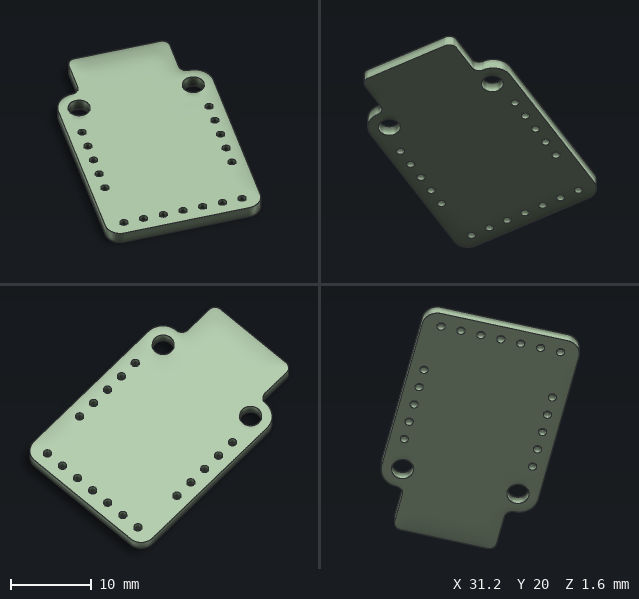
import cadquery as cq

length = 31.2
width = 20.0
thickness = 1.6
tab_length = 5.9
tab_width = 13.05
tab_radius = 1.0
shoulder_radius = 2.45
end_radius = 1.95

mount_diameter = 2.7
mount_inset = 8.5
mount_spacing = 14.73

pin_diameter = 1.0
end_pin_count = 7
end_row_span = 15.25
end_row_inset = 1.8
pin_pitch = end_row_span / (end_pin_count - 1)
side_pin_count = 5
side_row_start = 12.7
side_row_spacing = 16.38

tab_end = -length / 2
far_end = length / 2
shoulder_x = tab_end + tab_length


def make_board():
    """Wide body with a narrower tab, all vertical corners rounded."""
    body_length = length - tab_length
    body = (
        cq.Workplane("XY")
        .box(body_length, width, thickness)
        .translate((shoulder_x + body_length / 2, 0, 0))
        .edges("|Z and <X").fillet(shoulder_radius)
        .edges("|Z and >X").fillet(end_radius)
    )
    tab = (
        cq.Workplane("XY")
        .box(tab_length, tab_width, thickness)
        .translate((tab_end + tab_length / 2, 0, 0))
        .edges("|Z and <X").fillet(tab_radius)
    )
    board = body.union(tab)
    for side in (-1, 1):
        root = cq.NearestToPointSelector((shoulder_x, side * tab_width / 2, 0))
        board = board.edges("|Z").edges(root).fillet(tab_radius)
    return board


def drill(board, centers, diameter):
    """Cut a through hole at each (x, y) centre."""
    holes = (
        cq.Workplane("XY")
        .workplane(offset=-thickness)
        .pushPoints(centers)
        .circle(diameter / 2)
        .extrude(2 * thickness)
    )
    return board.cut(holes)


mount_centers = [(tab_end + mount_inset, side * mount_spacing / 2) for side in (-1, 1)]
end_pins = [
    (far_end - end_row_inset, -end_row_span / 2 + i * pin_pitch)
    for i in range(end_pin_count)
]
side_pins = [
    (tab_end + side_row_start + i * pin_pitch, side * side_row_spacing / 2)
    for side in (-1, 1)
    for i in range(side_pin_count)
]

result = make_board()
result = drill(result, mount_centers, mount_diameter)
result = drill(result, end_pins + side_pins, pin_diameter)